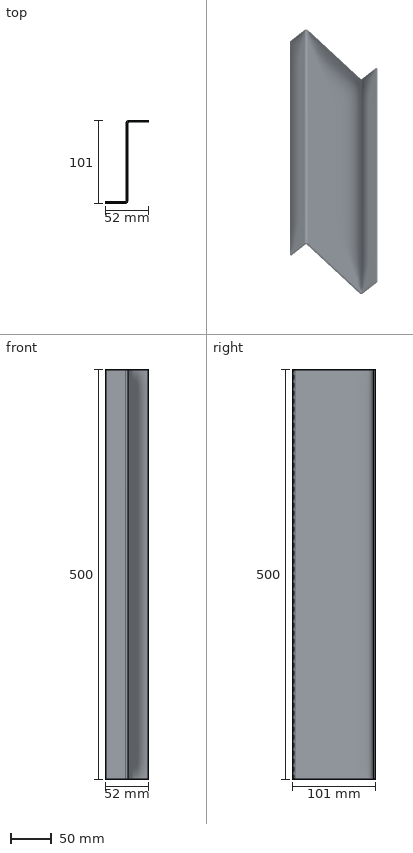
import cadquery as cq

overall_width = 52.0
overall_depth = 101.0
length = 500.0

thickness = 2.0
inner_bend_radius = 1.0
outer_bend_radius = inner_bend_radius + thickness

web_face = thickness / 2
flange_tip = overall_width / 2
flange_outer = overall_depth / 2
flange_inner = flange_outer - thickness


def sharp_profile():
    """Prism of the Z section with square corners: a web along Y and two opposed flanges."""
    half_outline = [
        (web_face, flange_inner),
        (flange_tip, flange_inner),
        (flange_tip, flange_outer),
        (-web_face, flange_outer),
    ]
    turned_outline = [(-x, -y) for x, y in half_outline]
    outline = half_outline + turned_outline
    return cq.Workplane("XY").polyline(outline).close().extrude(length / 2, both=True)


def round_corner_pair(body, x, y, radius):
    """Round the lengthwise edge at (x, y) and the one half a turn away from it."""
    for side in (1, -1):
        nearest = cq.selectors.NearestToPointSelector((side * x, side * y, 0))
        body = body.edges("|Z").edges(nearest).fillet(radius)
    return body


def round_bends(body):
    """Round both sides of each bend about a common centre, keeping the sheet thickness."""
    body = round_corner_pair(body, -web_face, flange_outer, outer_bend_radius)
    return round_corner_pair(body, web_face, flange_inner, inner_bend_radius)


result = round_bends(sharp_profile())